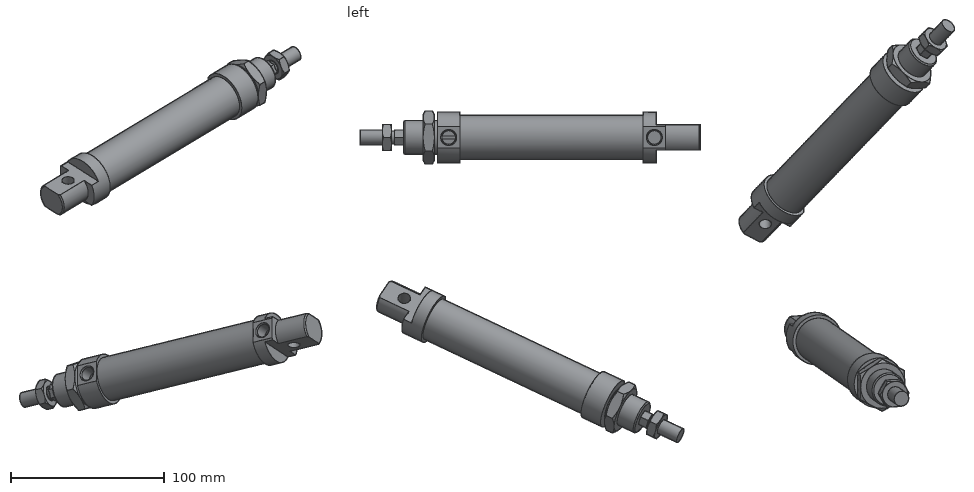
import cadquery as cq
import math


overall_length = 221.0
eye_length = 22.5
cap_length = 14.5
tube_length = 119.1
nose_length = 22.0
rod_hex_length = 5.7
neck_length = 2.0
nose_nut_gap = 2.0
nose_nut_thickness = 7.3
lock_nut_thickness = 6.0

rear_cap_start = eye_length
tube_start = rear_cap_start + cap_length
front_cap_start = tube_start + tube_length
nose_start = front_cap_start + cap_length
nose_end = nose_start + nose_length
neck_start = nose_end + rod_hex_length
thread_start = neck_start + neck_length
nose_nut_start = nose_start + nose_nut_gap

cap_diameter = 33.2
tube_diameter = 29.0
nose_diameter = 22.0
rod_diameter = 10.0
neck_diameter = 8.6
rod_hex_flats = 10.0
nose_nut_flats = 30.0
lock_nut_flats = 17.0
edge_chamfer = 0.9

eye_thickness = 16.5
eye_shoulder_length = 6.0
pin_hole_diameter = 8.0
pin_hole_y = 15.0

port_flat_x = -15.0
port_diameter = 8.8
port_mouth_diameter = 10.4
port_depth = 10.2
port_mouth_depth = (port_mouth_diameter - port_diameter) / 2

hex_sides = 6
hex_corner_ratio = 1 / math.cos(math.pi / hex_sides)
nut_chamfer_angle = math.radians(30)
corners_on_x = 0
corners_on_z = 90


def rod_section(y):
    """Workplane across the cylinder axis at y, facing +Y, with +Z up in the sketch."""
    return cq.Workplane(cq.Plane(origin=(0, y, 0), xDir=(-1, 0, 0), normal=(0, 1, 0)))


def cylinder(diameter, start, length):
    return rod_section(start).circle(diameter / 2).extrude(length)


def hexagon(flats, start, length, corner_angle):
    """Hexagonal prism on the Y axis, turned about it by corner_angle from corners on X."""
    corner_diameter = flats * hex_corner_ratio
    prism = rod_section(start).polygon(hex_sides, corner_diameter).extrude(length)
    return prism.rotate((0, 0, 0), (0, 1, 0), corner_angle)


def nut_envelope(flats, start, length):
    """Turned blank that bevels the corners of a nut at both faces."""
    corner_radius = flats / 2 * hex_corner_ratio
    bevel_width = corner_radius - flats / 2
    bevel_length = bevel_width * math.tan(nut_chamfer_angle)
    blank = rod_section(start).circle(corner_radius).extrude(length)
    for face in ("<Y", ">Y"):
        blank = blank.faces(face).chamfer(bevel_length, bevel_width)
    return blank


def cut_port(body, cap_start):
    """Flatten the -X side of a cap and sink a blind air port into it."""
    y = cap_start + cap_length / 2
    port_plane = cq.Plane(origin=(port_flat_x, y, 0), xDir=(0, 1, 0), normal=(-1, 0, 0))
    mouth = cq.Workplane(port_plane)
    flat = mouth.rect(cap_length, cap_diameter).extrude(cap_diameter)
    bore = mouth.circle(port_diameter / 2).extrude(-port_depth)
    countersink = (
        mouth.circle(port_mouth_diameter / 2)
        .workplane(offset=-port_mouth_depth)
        .circle(port_diameter / 2)
        .loft()
    )
    return body.cut(flat).cut(bore).cut(countersink)


def make_body():
    eye = cylinder(nose_diameter, 0, eye_length).faces("<Y").chamfer(edge_chamfer)
    nose = cylinder(nose_diameter, nose_start, nose_length).faces(">Y").chamfer(edge_chamfer)
    body = (
        cylinder(cap_diameter, rear_cap_start, cap_length)
        .union(cylinder(tube_diameter, tube_start, tube_length))
        .union(cylinder(cap_diameter, front_cap_start, cap_length))
        .union(eye)
        .union(nose)
    )

    flats_length = eye_length + eye_shoulder_length
    flat_offset = (eye_thickness + cap_diameter) / 2
    for side in (-1, 1):
        waste = cq.Workplane("XY").box(cap_diameter, flats_length, cap_diameter)
        body = body.cut(waste.translate((0, flats_length / 2, side * flat_offset)))

    pin_hole = (
        cq.Workplane("XY")
        .center(0, pin_hole_y)
        .circle(pin_hole_diameter / 2)
        .extrude(eye_thickness, both=True)
    )
    body = body.cut(pin_hole)

    for cap_start in (rear_cap_start, front_cap_start):
        body = cut_port(body, cap_start)

    rod_bore = cylinder(rod_diameter, front_cap_start, nose_end - front_cap_start)
    return body.cut(rod_bore)


def make_rod():
    guided = cylinder(rod_diameter, front_cap_start, nose_end - front_cap_start)
    wrench_hex = hexagon(rod_hex_flats, nose_end, rod_hex_length, corners_on_x)
    neck = cylinder(neck_diameter, neck_start, neck_length)
    thread = cylinder(rod_diameter, thread_start, overall_length - thread_start)
    return guided.union(wrench_hex).union(neck).union(thread)


def make_nut(flats, start, thickness, bore_diameter, corner_angle):
    nut = hexagon(flats, start, thickness, corner_angle)
    nut = nut.intersect(nut_envelope(flats, start, thickness))
    return nut.cut(cylinder(bore_diameter, start, thickness))


body = make_body()
piston_rod = make_rod()
nose_nut = make_nut(nose_nut_flats, nose_nut_start, nose_nut_thickness, nose_diameter, corners_on_z)
lock_nut = make_nut(lock_nut_flats, thread_start, lock_nut_thickness, rod_diameter, corners_on_x)

result = cq.Compound.makeCompound(
    [body.val(), piston_rod.val(), nose_nut.val(), lock_nut.val()]
)